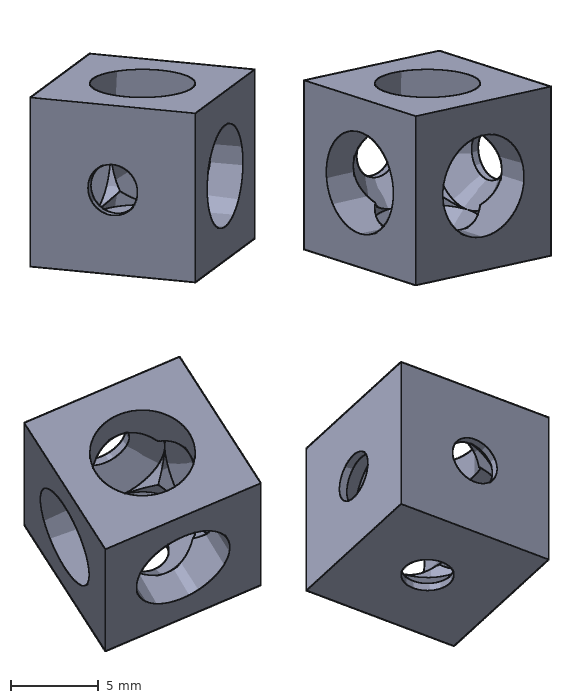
import cadquery as cq

SIDE = 10.0
SMALL_DIAMETER = 3.0
LARGE_DIAMETER = 6.0
SMALL_LENGTH = 0.5
CONE_LENGTH = 1.5


def stepped_hole(direction):
    """Hole along direction: narrow at the negative face, then a cone, then wide to the positive face."""
    small_radius = SMALL_DIAMETER / 2
    large_radius = LARGE_DIAMETER / 2
    start = direction * (-SIDE / 2)
    cone_start = start + direction * SMALL_LENGTH
    cone_end = cone_start + direction * CONE_LENGTH
    large_length = SIDE - SMALL_LENGTH - CONE_LENGTH

    narrow_bore = cq.Solid.makeCylinder(small_radius, SMALL_LENGTH, start, direction)
    cone = cq.Solid.makeCone(small_radius, large_radius, CONE_LENGTH, cone_start, direction)
    wide_bore = cq.Solid.makeCylinder(large_radius, large_length, cone_end, direction)
    return cq.Workplane(narrow_bore).union(cq.Workplane(cone)).union(cq.Workplane(wide_bore))


result = cq.Workplane("XY").box(SIDE, SIDE, SIDE)
for axis in [(1, 0, 0), (0, 1, 0), (0, 0, 1)]:
    result = result.cut(stepped_hole(cq.Vector(*axis)))